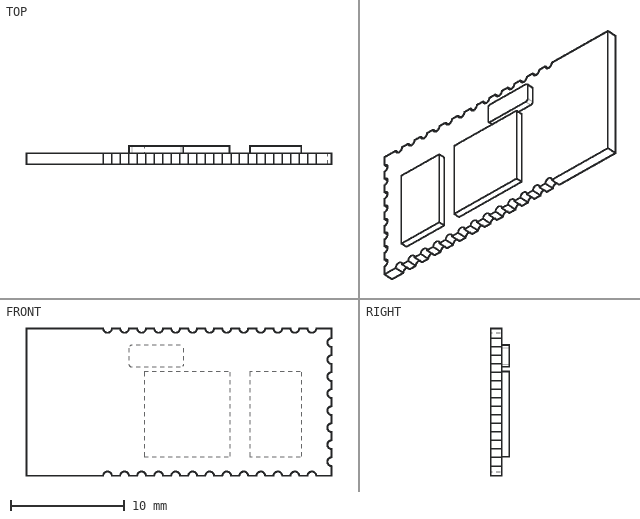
import cadquery as cq


board_length = 26.9
board_height = 13.0
total_thickness = 1.65
component_thickness = 0.65
board_thickness = total_thickness - component_thickness

notch_radius = 0.38
long_edge_notches = 13
short_edge_notches = 8
long_row_span = 18.0
notch_pitch = long_row_span / (long_edge_notches - 1)
last_notch_to_right_edge = 1.75
first_notch_x = board_length - last_notch_to_right_edge - long_row_span
short_row_span = notch_pitch * (short_edge_notches - 1)
first_notch_z = (board_height - short_row_span) / 2

main_chip_side = 7.53
main_chip_right = 17.92
main_chip_bottom = 1.67

second_chip_left = 19.7
second_chip_length = 4.55

crystal_left = 9.05
crystal_length = 4.8
crystal_height = 1.95
crystal_bottom = 9.6
crystal_corner_radius = 0.25


def block(left, bottom, length, height, front, thickness):
    """Box placed by its lower left front corner."""
    return (
        cq.Workplane("XY")
        .box(length, thickness, height, centered=False)
        .translate((left, front, bottom))
    )


def component(left, bottom, length, height):
    """Box seated on the back face of the board."""
    return block(left, bottom, length, height, board_thickness, component_thickness)


def notch_centers():
    """Notch centers (x, z) along the top, bottom and right edges."""
    centers = []
    for i in range(long_edge_notches):
        x = first_notch_x + i * notch_pitch
        centers.append((x, 0))
        centers.append((x, board_height))
    for i in range(short_edge_notches):
        centers.append((board_length, first_notch_z + i * notch_pitch))
    return centers


board = block(0, 0, board_length, board_height, 0, board_thickness)

notches = (
    cq.Workplane("XZ")
    .pushPoints(notch_centers())
    .circle(notch_radius)
    .extrude(-board_thickness)
)

main_chip = component(
    main_chip_right - main_chip_side, main_chip_bottom, main_chip_side, main_chip_side
)
second_chip = component(
    second_chip_left, main_chip_bottom, second_chip_length, main_chip_side
)
crystal = (
    component(crystal_left, crystal_bottom, crystal_length, crystal_height)
    .edges("|Y")
    .fillet(crystal_corner_radius)
)

result = board.cut(notches).union(main_chip).union(second_chip).union(crystal)